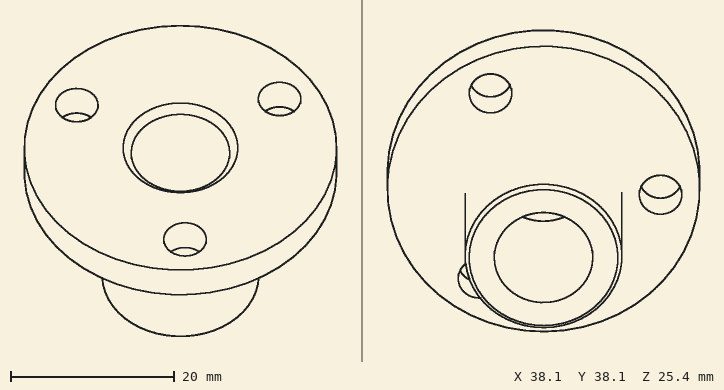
import cadquery as cq

flange_diameter = 38.1
total_height = 25.4
flange_thickness = 4.85
barrel_diameter = 19.13

neck_fillet = 1.9
barrel_chamfer = 0.5

bore_diameter = 12.0
countersink_diameter = 14.0
countersink_angle = 90.0

hole_count = 3
hole_diameter = 5.2
hole_circle_radius = 14.3
first_hole_angle = 90.0

barrel_length = total_height - flange_thickness


def make_body():
    """Barrel standing on Z = 0 with the flange on top."""
    barrel = cq.Workplane("XY").circle(barrel_diameter / 2).extrude(barrel_length)
    barrel = barrel.faces("<Z").edges().chamfer(barrel_chamfer)
    flange = (
        cq.Workplane("XY")
        .workplane(offset=barrel_length)
        .circle(flange_diameter / 2)
        .extrude(flange_thickness)
    )
    body = barrel.union(flange)
    barrel_edges = body.edges(cq.selectors.RadiusNthSelector(1))
    return barrel_edges.edges(">Z").fillet(neck_fillet)


def cut_bore(body):
    """Countersunk bore through the whole part from the flange face."""
    return (
        body.faces(">Z")
        .workplane(origin=(0, 0, 0))
        .cskHole(bore_diameter, countersink_diameter, countersink_angle)
    )


def cut_mounting_holes(body):
    """Evenly spaced holes through the flange, the first one on +Y."""
    return (
        body.faces(">Z")
        .workplane(origin=(0, 0, 0))
        .polarArray(hole_circle_radius, first_hole_angle, 360, hole_count)
        .hole(hole_diameter)
    )


result = cut_mounting_holes(cut_bore(make_body()))